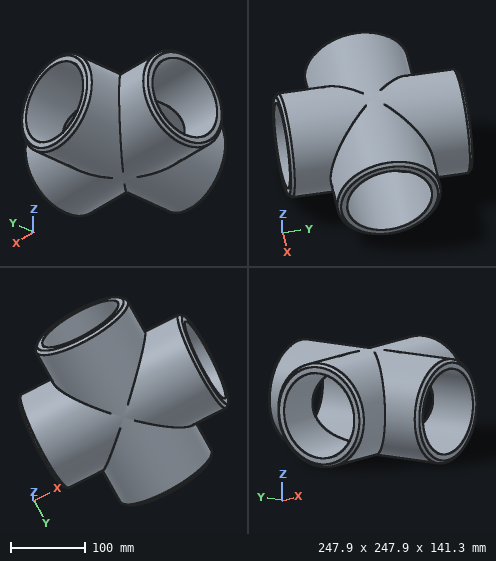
import cadquery as cq

outer_diameter = 141.3
wall_thickness = 12.7
end_to_end = 247.9
bevel_axial = 4.4
bevel_radial = 4.4

outer_radius = outer_diameter / 2
bore_radius = outer_radius - wall_thickness
half_length = end_to_end / 2


def make_run():
    """Solid bar along X with a conical bevel at both ends."""
    tip_radius = outer_radius - bevel_radial
    shoulder = half_length - bevel_axial
    profile = [
        (-half_length, 0),
        (-half_length, tip_radius),
        (-shoulder, outer_radius),
        (shoulder, outer_radius),
        (half_length, tip_radius),
        (half_length, 0),
    ]
    return cq.Workplane("XY").polyline(profile).close().revolve(360, (0, 0, 0), (1, 0, 0))


def make_bore():
    """Through bore along X."""
    return cq.Workplane("YZ").circle(bore_radius).extrude(half_length, both=True)


def crossed(run):
    """Join a run along X with its copy turned to lie along Y."""
    return run.union(run.rotate((0, 0, 0), (0, 0, 1), 90))


result = crossed(make_run()).cut(crossed(make_bore()))